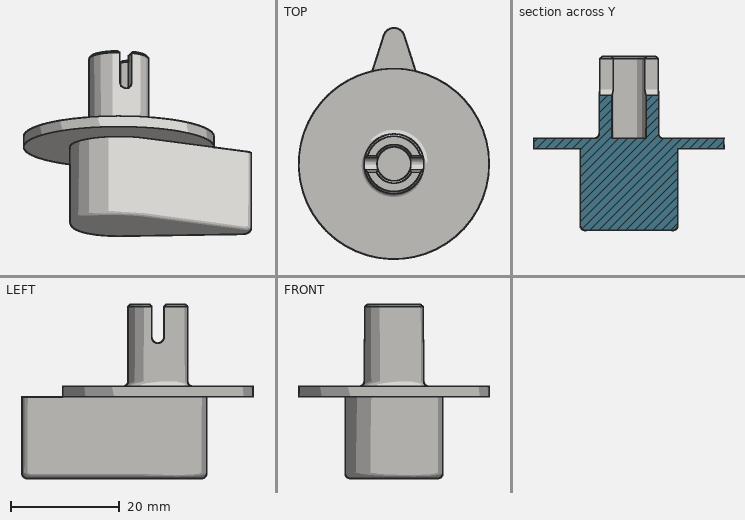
import cadquery as cq
import math

total_length = 42.5
flange_diameter = 35.0
flange_thickness = 2.0
grip_diameter = 18.0
grip_height = 15.0
grip_bottom_fillet = 1.0
pointer_tip_radius = 2.0
shaft_diameter = 11.0
shaft_height = 15.0
shaft_root_fillet = 0.8
bore_diameter = 6.25
bore_depth = shaft_height
slot_width = 2.2
slot_depth = 7.1
top_chamfer = 0.42

grip_radius = grip_diameter / 2
pointer_tip_y = total_length - flange_diameter / 2
tip_centre_y = pointer_tip_y - pointer_tip_radius
flange_top_z = grip_height + flange_thickness
shaft_top_z = flange_top_z + shaft_height


def make_grip():
    """Teardrop grip: a cylinder and a small tip circle joined by tangent flanks."""
    tangent_angle = math.asin((grip_radius - pointer_tip_radius) / tip_centre_y)
    normal_x = math.cos(tangent_angle)
    normal_y = math.sin(tangent_angle)
    grip_x = grip_radius * normal_x
    grip_y = grip_radius * normal_y
    tip_x = pointer_tip_radius * normal_x
    tip_y = tip_centre_y + pointer_tip_radius * normal_y
    return (
        cq.Workplane("XY")
        .moveTo(grip_x, grip_y)
        .lineTo(tip_x, tip_y)
        .threePointArc((0, pointer_tip_y), (-tip_x, tip_y))
        .lineTo(-grip_x, grip_y)
        .threePointArc((0, -grip_radius), (grip_x, grip_y))
        .close()
        .extrude(grip_height)
        .faces("<Z")
        .edges()
        .fillet(grip_bottom_fillet)
    )


def make_flange_and_shaft():
    """Round flange carrying the plain shaft, with a fillet at the shaft root."""
    flange = (
        cq.Workplane("XY", origin=(0, 0, grip_height))
        .circle(flange_diameter / 2)
        .extrude(flange_thickness)
    )
    shaft = (
        cq.Workplane("XY", origin=(0, 0, flange_top_z))
        .circle(shaft_diameter / 2)
        .extrude(shaft_height)
    )
    smallest_circle = cq.selectors.RadiusNthSelector(0)
    return (
        flange.union(shaft)
        .faces("|Z")
        .faces("not(<Z or >Z)")
        .edges(smallest_circle)
        .fillet(shaft_root_fillet)
    )


def make_bore():
    """Blind bore running down the shaft from its free end."""
    return (
        cq.Workplane("XY", origin=(0, 0, shaft_top_z - bore_depth))
        .circle(bore_diameter / 2)
        .extrude(bore_depth)
    )


def make_slot():
    """Round-bottomed slot crossing the shaft end along X."""
    half_width = slot_width / 2
    floor_z = shaft_top_z - slot_depth
    arc_centre_z = floor_z + half_width
    return (
        cq.Workplane("YZ")
        .moveTo(-half_width, shaft_top_z)
        .lineTo(-half_width, arc_centre_z)
        .threePointArc((0, floor_z), (half_width, arc_centre_z))
        .lineTo(half_width, shaft_top_z)
        .close()
        .extrude(shaft_diameter / 2, both=True)
    )


upper_body = make_flange_and_shaft().cut(make_bore()).cut(make_slot())
upper_body = upper_body.faces(">Z").edges().chamfer(top_chamfer)

result = make_grip().union(upper_body)